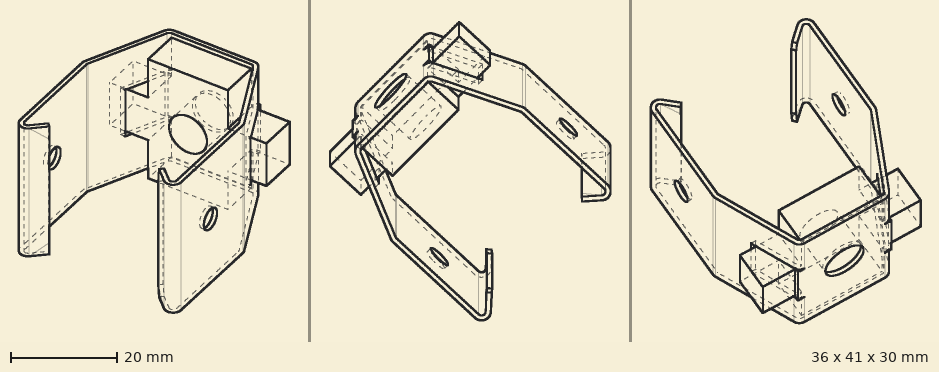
import cadquery as cq
import math

width = 36.0
depth = 41.0
height = 30.0
sheet = 1.0

bend_outer = 1.75
bend_inner = bend_outer - sheet
back_half = 8.95
flare_angle = 24.4
lip_turn = 130.0
lip_length = 3.8

crease_height = 2.85
crease_angle = 4.0
corner_excess = 0.4

window_height = 10.9
window_depth = 9.92
tab_half = 10.37
side_hole_diameter = 4.5
side_hole_y = -29.03
center_hole_diameter = 8.5

block_depth = 8.08
block_height = 27.95
arm_span = 35.1
arm_height = 10.0

flare = math.radians(flare_angle)
flare_run = (width / 2 - back_half - bend_outer * math.cos(flare)
             - bend_outer * (1 - math.cos(flare)))
flare_length = flare_run / math.sin(flare)
side_top = (bend_outer * (1 - math.sin(flare)) + flare_length * math.cos(flare)
            + bend_outer * math.sin(flare))
side_length = depth - bend_outer - side_top

lip_heading = -90.0 - lip_turn
lip_dir = cq.Vector(math.cos(math.radians(lip_heading)), math.sin(math.radians(lip_heading)), 0)
lip_normal = cq.Vector(lip_dir.y, -lip_dir.x, 0)
lip_start = cq.Vector(width / 2 - bend_outer, bend_outer - depth, 0) - lip_normal * bend_outer


def mirrored(body, plane):
    return body.union(body.mirror(plane))


def box(x_size, y_size, z_size, y_back):
    """Box centred in X and Z whose rear face is at y_back."""
    return cq.Workplane("XY").box(x_size, y_size, z_size).translate((0, y_back - y_size / 2, 0))


def hole(diameter):
    """Cylinder along Y, long enough to pass through the whole part."""
    return cq.Workplane("XZ").circle(diameter / 2).extrude(depth, both=True)


def on_bend(start, radius, angle):
    """Point on a clockwise bend that begins at x = start, outer surface on y = 0."""
    turned = math.radians(angle)
    return (start + radius * math.sin(turned), radius * math.cos(turned) - bend_outer)


def strip_piece(frame, length, turn):
    """Straight run along the frame's X axis, followed by a bend."""
    outline = cq.Workplane(frame).lineTo(length, 0)
    if turn:
        outline = (
            outline
            .threePointArc(on_bend(length, bend_outer, turn / 2), on_bend(length, bend_outer, turn))
            .lineTo(*on_bend(length, bend_inner, turn))
            .threePointArc(on_bend(length, bend_inner, turn / 2), on_bend(length, bend_inner, 0))
        )
    else:
        outline = outline.lineTo(length, -sheet)
    return outline.lineTo(0, -sheet).close().extrude(height)


def strip_half():
    """Right half of the bent strip, from the middle of the back to the lip."""
    runs = [
        (back_half, 90 - flare_angle),
        (flare_length, flare_angle),
        (side_length, lip_turn),
        (lip_length, 0),
    ]
    strip = cq.Workplane("XY")
    frame = cq.Plane(origin=(0, 0, -height / 2))
    for length, turn in runs:
        strip = strip.add(strip_piece(frame, length, turn))
        end = frame.toWorldCoords(on_bend(length, bend_outer, turn))
        frame = cq.Plane(origin=end.toTuple(), xDir=frame.xDir.toTuple(), normal=(0, 0, 1))
        frame = frame.rotated((0, 0, -turn))
    return strip.combine()


def bend_lip_corner(strip):
    """Bend the upper lip corner inward about its crease."""
    crease_start = lip_start + cq.Vector(0, 0, height / 2)
    crease_end = crease_start + lip_dir * lip_length - cq.Vector(0, 0, crease_height)
    frame = cq.Plane(origin=crease_start.toTuple(), xDir=lip_dir.toTuple(), normal=lip_normal.toTuple())
    down = frame.toLocalCoords(crease_end).y
    excess = math.copysign(corner_excess, -down)
    outline = [(0, 0), (0, excess), (lip_length, excess), (lip_length, down)]
    corner = cq.Workplane(frame).polyline(outline).close().extrude(sheet)
    bent = corner.rotate(crease_start.toTuple(), crease_end.toTuple(), crease_angle)
    return strip.cut(corner).union(bent)


def make_clip():
    """Bent strip made from one quarter, with its windows, back tab and holes."""
    half = bend_lip_corner(strip_half())
    upper = half.intersect(box(2 * width, depth, height / 2, 0).translate((0, 0, height / 4)))
    clip = mirrored(mirrored(upper, "XY"), "YZ")
    clip = clip.cut(box(width, window_depth, window_height, 0))
    clip = clip.union(box(2 * tab_half, sheet, window_height, 0))
    side_hole = cq.Workplane("YZ").center(side_hole_y, 0).circle(side_hole_diameter / 2)
    return clip.cut(side_hole.extrude(width, both=True)).cut(hole(center_hole_diameter))


def make_block():
    """Cross-shaped block whose arms reach out through the windows."""
    body = box(2 * back_half, block_depth, block_height, -sheet)
    arms = box(arm_span, block_depth, arm_height, -sheet)
    return body.union(arms).cut(hole(center_hole_diameter))


clip = make_clip()
block = make_block()
result = cq.Compound.makeCompound([clip.solids().val(), block.solids().val()])